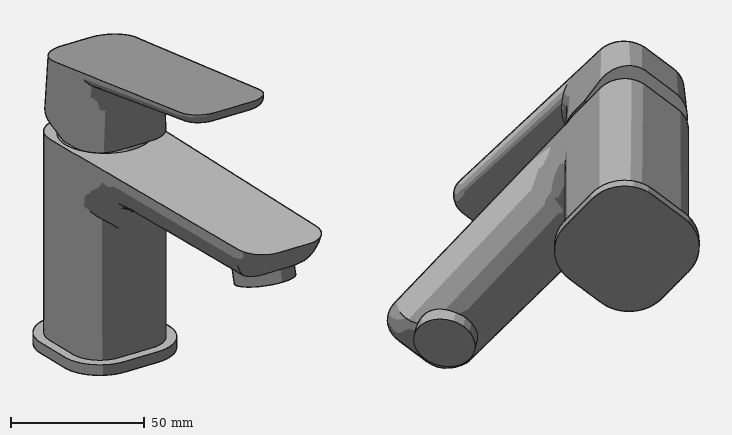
import cadquery as cq
import math

plate_side = 48.0
plate_thickness = 4.5
column_side = 40.0
straight_side = 15.4
column_half = column_side / 2
column_round = (column_side - straight_side) / 2
plate_round = (plate_side - straight_side) / 2

overall_length = 148.1
spout_tip_x = overall_length - plate_side / 2
spout_tip_width = 35.5
body_top_z = 87.8
spout_bottom_z = 69.6
spout_root_x = -straight_side / 2
spout_bend_radius = 16.3
spout_nose_length = 35.5
spout_tip_tangent = (0.3, 1)
spout_barrel_round = 16.7
spout_nose_round = 11.1

aerator_diameter = 23.4
aerator_tilt = 14.6
aerator_length = 10.4
aerator_face_x = 105.0
aerator_face_z = 67.7

dome_radius = 20.0
dome_center_depth = 8.6
dome_center_z = body_top_z - dome_center_depth

overall_height = 131.2
lever_tip_x = 86.5
lever_tip_width = 39.1
lever_tip_round = 9.6
lever_bottom_z = 90.3
lever_back_bottom_z = 99.7
lever_relief_x = 1.3
lever_draft = 2.3
lever_tilt = 7.0
lever_bend_radius = 13.3
blade_underside_slope = 8.0
blade_tip_thickness = 4.1
blade_edge_round = 3.5
bend_overlap = 0.9

lever_height = overall_height - lever_bottom_z
lever_top_tip_x = lever_tip_x - lever_height * math.tan(math.radians(lever_draft))


def lever_top_z(x):
    """Height of the tilted lever top at x."""
    return overall_height - (lever_top_tip_x - x) * math.tan(math.radians(lever_tilt))


def blade_underside_z(x):
    """Height of the blade underside at x."""
    drop = (lever_top_tip_x - x) * math.tan(math.radians(blade_underside_slope))
    return overall_height - blade_tip_thickness - drop


def make_plate():
    return (
        cq.Workplane("XY")
        .rect(plate_side, plate_side)
        .extrude(plate_thickness)
        .edges("|Z")
        .fillet(plate_round)
    )


def make_column():
    return (
        cq.Workplane("XY")
        .rect(column_side, column_side)
        .extrude(body_top_z)
        .edges("|Z")
        .fillet(column_round)
    )


def start_spout_profile():
    """Outline of the spout side up to the bend end, starting inside the column."""
    bend_start_z = spout_bottom_z - spout_bend_radius
    return (
        cq.Workplane("XZ")
        .moveTo(spout_root_x, plate_thickness)
        .lineTo(column_half, plate_thickness)
        .lineTo(column_half, bend_start_z)
        .radiusArc((column_half + spout_bend_radius, spout_bottom_z), spout_bend_radius)
    )


def finish_spout(profile, edge_round):
    """Close a spout profile, cut it to the tapering plan and round its lower edges."""
    plan = (
        cq.Workplane("XY")
        .moveTo(spout_root_x, -column_half)
        .lineTo(spout_tip_x, -spout_tip_width / 2)
        .lineTo(spout_tip_x, spout_tip_width / 2)
        .lineTo(spout_root_x, column_half)
        .close()
        .extrude(body_top_z)
    )
    spout = profile.lineTo(spout_root_x, body_top_z).close().extrude(column_half, both=True)
    return spout.intersect(plan).edges("not(<Z or >Z or <X or >X)").fillet(edge_round)


def make_spout():
    """Deeply rounded barrel whose end is trimmed by a nose with tighter corners."""
    barrel = (
        start_spout_profile()
        .lineTo(spout_tip_x, spout_bottom_z)
        .lineTo(spout_tip_x, body_top_z)
    )
    nose = (
        start_spout_profile()
        .lineTo(spout_tip_x - spout_nose_length, spout_bottom_z)
        .spline(
            [(spout_tip_x, body_top_z)],
            tangents=[(1, 0), spout_tip_tangent],
            includeCurrent=True,
        )
    )
    rounded_barrel = finish_spout(barrel, spout_barrel_round)
    rounded_nose = finish_spout(nose, spout_nose_round)
    return rounded_barrel.intersect(rounded_nose)


def make_aerator():
    tilt = math.radians(aerator_tilt)
    outward = cq.Vector(math.sin(tilt), 0, -math.cos(tilt))
    face_center = cq.Vector(aerator_face_x, 0, aerator_face_z)
    return cq.Workplane(
        cq.Solid.makeCylinder(aerator_diameter / 2, aerator_length, face_center, outward * -1)
    )


def make_dome():
    sphere = cq.Workplane("XY").sphere(dome_radius).translate((0, 0, dome_center_z))
    space_above_body = (
        cq.Workplane("XY", origin=(0, 0, body_top_z))
        .rect(column_side, column_side)
        .extrude(dome_radius)
    )
    return sphere.intersect(space_above_body)


def make_lever_plan():
    """Drafted prism with the plan outline of the whole lever."""
    return (
        cq.Workplane("XY", origin=(0, 0, lever_bottom_z))
        .moveTo(-column_half, -column_half)
        .lineTo(lever_tip_x, -lever_tip_width / 2)
        .lineTo(lever_tip_x, lever_tip_width / 2)
        .lineTo(-column_half, column_half)
        .close()
        .extrude(lever_height, taper=lever_draft)
    )


def make_lever_body():
    """Body with a sloped back underside and a concave bend that ends inside the blade."""
    bend_end_x = column_half + lever_bend_radius
    bend_top_z = blade_underside_z(bend_end_x) + bend_overlap
    rounded = (
        cq.Workplane("XZ")
        .moveTo(-column_half, lever_bottom_z)
        .lineTo(column_half, lever_bottom_z)
        .lineTo(column_half, bend_top_z - lever_bend_radius)
        .radiusArc((bend_end_x, bend_top_z), lever_bend_radius)
        .lineTo(bend_end_x, overall_height)
        .lineTo(-column_half, overall_height)
        .close()
        .extrude(column_half, both=True)
        .intersect(make_lever_plan())
    )
    rounded = rounded.edges("not(<Z or >Z or >X)").fillet(column_round)
    envelope = (
        cq.Workplane("XZ")
        .moveTo(-column_half, lever_back_bottom_z)
        .lineTo(lever_relief_x, lever_bottom_z)
        .lineTo(bend_end_x, lever_bottom_z)
        .lineTo(bend_end_x, lever_top_z(bend_end_x))
        .lineTo(-column_half, lever_top_z(-column_half))
        .close()
        .extrude(column_half, both=True)
    )
    return rounded.intersect(envelope)


def make_lever_blade():
    slab = (
        cq.Workplane("XZ")
        .moveTo(0, blade_underside_z(0))
        .lineTo(lever_tip_x, blade_underside_z(lever_tip_x))
        .lineTo(lever_tip_x, lever_top_z(lever_tip_x))
        .lineTo(0, lever_top_z(0))
        .close()
        .extrude(column_half, both=True)
    )
    plan = make_lever_plan().faces(">X").edges("not(#Z)").fillet(lever_tip_round)
    blade = slab.intersect(plan)
    slope = math.radians(blade_underside_slope)
    underside = cq.DirectionMinMaxSelector(cq.Vector(math.sin(slope), 0, -math.cos(slope)))
    return blade.faces(underside).edges("not(<X)").fillet(blade_edge_round)


result = (
    make_plate()
    .union(make_column())
    .union(make_spout())
    .union(make_aerator())
    .union(make_dome())
    .union(make_lever_body())
    .union(make_lever_blade())
)